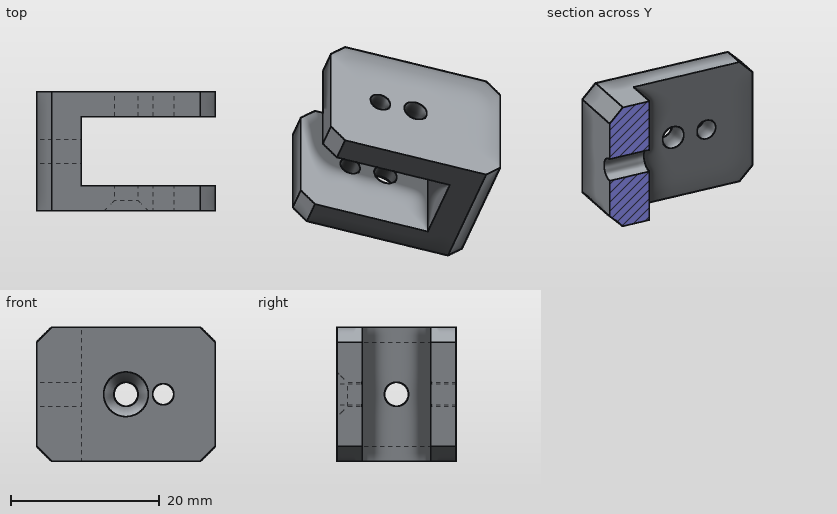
import cadquery as cq

length = 24.0
width = 16.0
height = 18.0
corner_chamfer = 2.0

slot_width = 9.2
web_thickness = 6.0

screw_diameter = 3.2
countersink_diameter = 6.0
countersink_angle = 90.0
pin_diameter = 2.8
pin_offset = 5.0


def make_block():
    """Block with its four edges along Y chamfered."""
    return cq.Workplane("XY").box(length, width, height).edges("|Y").chamfer(corner_chamfer)


def cut_slot(body):
    """Cut the slot through the full height, leaving the web at the -X end."""
    slot_length = length - web_thickness
    slot_center_x = web_thickness / 2
    slot = cq.Workplane("XY").box(slot_length, slot_width, height).translate((slot_center_x, 0, 0))
    return body.cut(slot)


def drill_arms(body):
    """Drill the countersunk screw hole (cone on the -Y face) and the pin hole through both arms."""
    front_face = cq.Workplane("XZ", origin=(0, -width / 2, 0))
    pin_hole = front_face.center(pin_offset, 0).circle(pin_diameter / 2).extrude(-width)
    return (
        body.cut(pin_hole)
        .faces("<Y")
        .workplane(origin=(0, -width / 2, 0))
        .cskHole(screw_diameter, countersink_diameter, countersink_angle, depth=width)
    )


def drill_web(body):
    """Drill the screw hole along X through the web."""
    web_hole = (
        cq.Workplane("YZ", origin=(-length / 2, 0, 0))
        .circle(screw_diameter / 2)
        .extrude(web_thickness)
    )
    return body.cut(web_hole)


result = drill_web(drill_arms(cut_slot(make_block())))